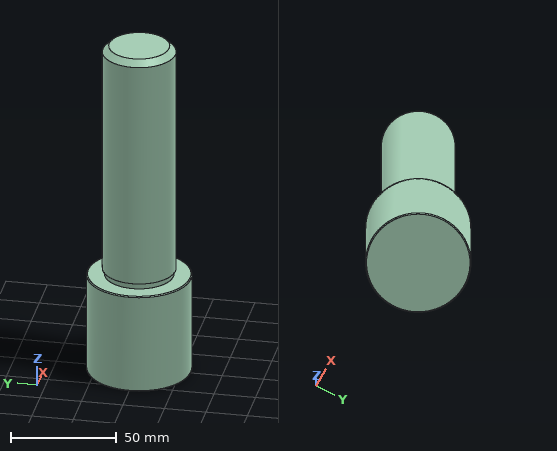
import cadquery as cq

total_length = 170.0
head_diameter = 50.0
head_height = 50.0
shank_diameter = 35.0

groove_width = 3.0
groove_diameter = 33.0

tip_chamfer = 3.0
head_chamfer = 0.5

head = (
    cq.Workplane("XY")
    .circle(head_diameter / 2)
    .extrude(head_height)
    .edges()
    .chamfer(head_chamfer)
)

neck = (
    cq.Workplane("XY")
    .workplane(offset=head_height)
    .circle(groove_diameter / 2)
    .extrude(groove_width)
)

shank_start = head_height + groove_width
shank = (
    cq.Workplane("XY")
    .workplane(offset=shank_start)
    .circle(shank_diameter / 2)
    .extrude(total_length - shank_start)
    .faces(">Z")
    .edges()
    .chamfer(tip_chamfer)
)

result = head.union(neck).union(shank)